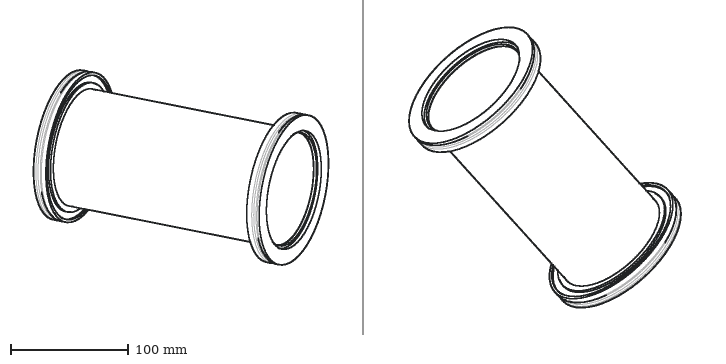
import cadquery as cq
import math

overall_length = 216.0
flange_thickness = 11.9

tube_diameter = 101.7
tube_bore = 97.4

flange_diameter = 130.0
counterbore_diameter = 102.8
counterbore_depth = 3.5
lip_bore = 98.2
lip_length = 2.5

rim_groove_offset = 2.2
rim_groove_depth = 1.5
rim_groove_shoulder = 1.5
rim_groove_hollow = 2.2

recess_inner_diameter = 112.3
recess_outer_diameter = 125.0
recess_depth = 2.0

socket_start = counterbore_depth + lip_length
tube_length = overall_length - 2 * socket_start


def cylinder_x(diameter, start, length):
    """Solid cylinder along +X, beginning at X = start."""
    return cq.Workplane("YZ", origin=(start, 0, 0)).circle(diameter / 2).extrude(length)


def ring_x(outer_diameter, inner_diameter, start, length):
    """Ring along +X, beginning at X = start."""
    return cylinder_x(outer_diameter, start, length).cut(cylinder_x(inner_diameter, start, length))


def make_rim_groove():
    """Ring of material removed from the rim; its profile is three tangent arcs."""
    rim_radius = flange_diameter / 2
    half_width = rim_groove_shoulder + rim_groove_hollow / 2
    tangent_radius = rim_radius - rim_groove_depth * rim_groove_shoulder / half_width
    chord_angle = math.atan(rim_groove_depth / half_width)
    shoulder_chord = rim_groove_shoulder / math.cos(chord_angle)
    shoulder_sagitta = shoulder_chord / 2 * math.tan(chord_angle / 2)
    hollow_start = rim_groove_offset + rim_groove_shoulder
    hollow_end = hollow_start + rim_groove_hollow
    hollow_middle = (hollow_start + hollow_end) / 2
    groove_end = hollow_end + rim_groove_shoulder
    return (
        cq.Workplane("XY")
        .moveTo(rim_groove_offset, rim_radius)
        .sagittaArc((hollow_start, tangent_radius), shoulder_sagitta)
        .threePointArc((hollow_middle, rim_radius - rim_groove_depth), (hollow_end, tangent_radius))
        .sagittaArc((groove_end, rim_radius), shoulder_sagitta)
        .close()
        .revolve(360, (0, 0, 0), (1, 0, 0))
    )


def make_flange():
    """Flange with its outer face at X = 0 and the tube socket opening toward +X."""
    body = cylinder_x(flange_diameter, 0, flange_thickness)
    counterbore = cylinder_x(counterbore_diameter, 0, counterbore_depth)
    lip_hole = cylinder_x(lip_bore, 0, flange_thickness)
    socket = cylinder_x(tube_diameter, socket_start, flange_thickness - socket_start)
    recess = ring_x(
        recess_outer_diameter, recess_inner_diameter, flange_thickness - recess_depth, recess_depth
    )
    return body.cut(counterbore).cut(lip_hole).cut(socket).cut(recess).cut(make_rim_groove())


def make_tube():
    """Tube whose ends seat against the lips of the two flanges."""
    return ring_x(tube_diameter, tube_bore, -tube_length / 2, tube_length)


flanges = []
for angle in (0, 180):
    placed_flange = make_flange().translate((-overall_length / 2, 0, 0)).rotate((0, 0, 0), (0, 0, 1), angle)
    flanges.append(placed_flange.val())

tube = make_tube()

result = cq.Compound.makeCompound([tube.val(), *flanges])